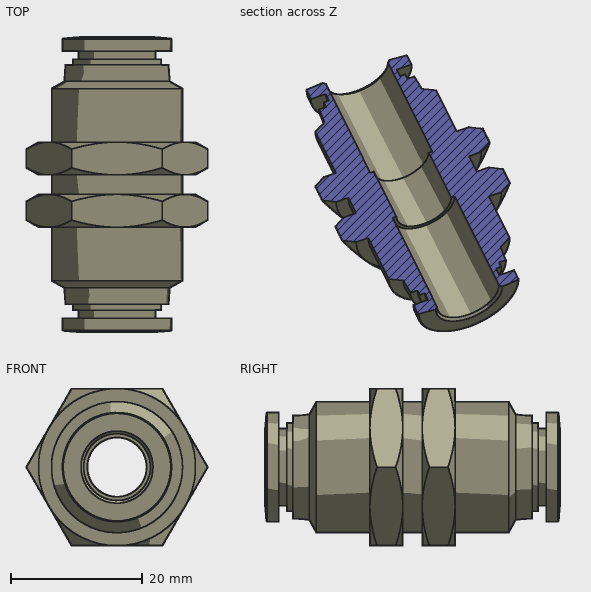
import cadquery as cq
import math

half_length = 22.55
body_radius = 10.0

collar_radius = 8.35
collar_length = 2.15
collar_edge_chamfer = 0.15
collar_face_rise = 0.23
neck_radius = 5.9
neck_length = 1.2

step_radius = 6.75
step_length = 0.9
sleeve_tip_radius = 7.9
sleeve_base_radius = 8.07
sleeve_length = 2.53
shoulder_length = 1.1

passage_radius = 4.5
socket_radius = 5.1
socket_mouth_radius = 5.5
socket_depth = 18.05

nut_across_flats = 24.0
nut_thickness = 5.0
nut_gap = 2.98
nut_chamfer_angle = 30.0

collar_rim_y = half_length - collar_face_rise
collar_back_y = half_length - collar_length
neck_end_y = collar_back_y - neck_length
sleeve_tip_y = neck_end_y - step_length
sleeve_base_y = sleeve_tip_y - sleeve_length
body_end_y = sleeve_base_y - shoulder_length
socket_floor_y = half_length - socket_depth
mouth_chamfer = socket_mouth_radius - socket_radius


def revolve_about_y(points):
    """Revolve a closed (radius, y) outline around the Y axis."""
    return cq.Workplane("XY").polyline(points).close().revolve(360, (0, 0), (0, 1))


def fitting():
    """Whole fitting, with a socket at each end and the passage between them."""
    half_outline = [
        (body_radius, body_end_y),
        (sleeve_base_radius, sleeve_base_y),
        (sleeve_tip_radius, sleeve_tip_y),
        (step_radius, sleeve_tip_y),
        (step_radius, neck_end_y),
        (neck_radius, neck_end_y),
        (neck_radius, collar_back_y),
        (collar_radius, collar_back_y),
        (collar_radius, collar_rim_y - collar_edge_chamfer),
        (collar_radius - collar_edge_chamfer, collar_rim_y),
        (socket_mouth_radius, half_length),
        (socket_radius, half_length - mouth_chamfer),
        (socket_radius, socket_floor_y),
        (passage_radius, socket_floor_y),
    ]
    mirrored_outline = [(radius, -y) for radius, y in reversed(half_outline)]
    return revolve_about_y(half_outline + mirrored_outline)


def nut():
    """Hexagonal ring centred on Y = 0, its corners chamfered on both faces."""
    flat_radius = nut_across_flats / 2
    corner_radius = flat_radius / math.cos(math.pi / 6)
    chamfer_drop = (corner_radius - flat_radius) * math.tan(math.radians(nut_chamfer_angle))
    half_thickness = nut_thickness / 2
    hexagon = (
        cq.Workplane("XZ")
        .polygon(6, 2 * corner_radius)
        .extrude(half_thickness, both=True)
    )
    envelope_margin = 0.45
    margin_drop = envelope_margin * math.tan(math.radians(nut_chamfer_angle))
    envelope_radius = corner_radius + envelope_margin
    envelope_half = half_thickness - chamfer_drop - margin_drop
    envelope = revolve_about_y([
        (passage_radius, -half_thickness),
        (flat_radius, -half_thickness),
        (envelope_radius, -envelope_half),
        (envelope_radius, envelope_half),
        (flat_radius, half_thickness),
        (passage_radius, half_thickness),
    ])
    clearance_hole = cq.Workplane("XZ").circle(body_radius).extrude(half_thickness, both=True)
    return hexagon.intersect(envelope).cut(clearance_hole)


result = fitting()
nut_offset = (nut_gap + nut_thickness) / 2
for side in (-1, 1):
    result = result.union(nut().translate((0, side * nut_offset, 0)))